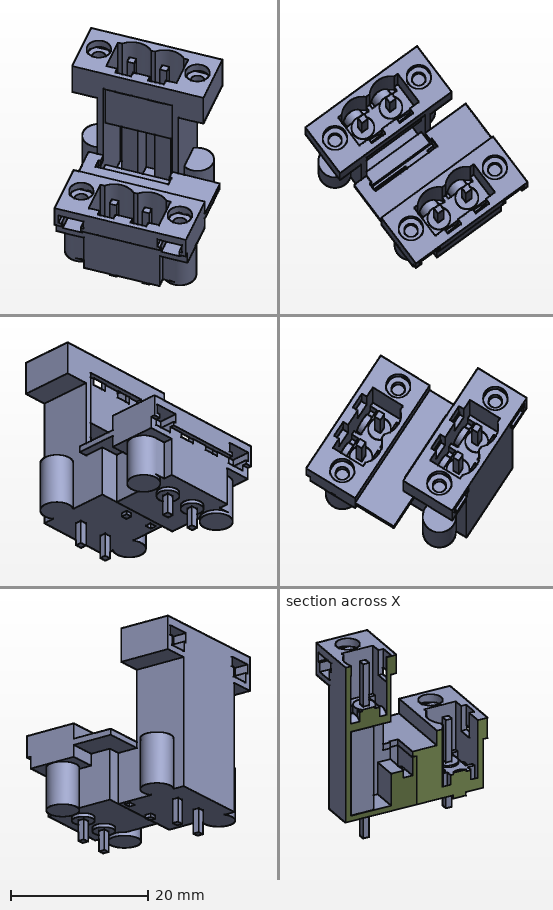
import cadquery as cq


PITCH = 5.08
POLE_OFFSETS = (-0.5 * PITCH, 0.5 * PITCH)
SCREW_OFFSETS = (-1.5 * PITCH, 1.5 * PITCH)

REAR_TOP = 29.35
FRONT_TOP = 15.18
PLATE_TOP = 12.75
PLATE_BOTTOM = 11.77
BASE = 3.75
STANDOFF_BOTTOM = 3.2

FLANGE_LENGTH = 4 * PITCH
FLANGE_DEPTH = 8.49
FLANGE_HEIGHT = 5.28
FLANGE_OVERLAP = 0.68
AXIS_SETBACK = 4.65

OVERALL_LENGTH = 22.87
OVERALL_DEPTH = 23.65
REAR_X = FLANGE_LENGTH / 2
FRONT_X = OVERALL_LENGTH - FLANGE_LENGTH / 2
REAR_Y = OVERALL_DEPTH - FLANGE_DEPTH
FRONT_Y = 0.0
REAR_AXIS_Y = REAR_Y + AXIS_SETBACK
FRONT_AXIS_Y = FRONT_Y + AXIS_SETBACK

CAVITY_LENGTH = 10.85
CAVITY_FRONT = 1.65
CAVITY_BACK = 6.85
CAVITY_DEPTH = 7.93
LOBE_RADIUS = 3.15
KEYWAY_WIDTH = 2.47
KEYWAY_FRONT = 0.8
KEYWAY_DEPTH = 4.1
COLLAR_RADIUS = 1.67
COLLAR_HEIGHT = 0.3
FLOOR_SLOT_WIDTH = 4.45
FLOOR_SLOT_FRONT_END = 2.75
FLOOR_SLOT_BACK_START = 6.17
FLOOR_SLOT_DEPTH = 2.35
RIDGE_RADIUS = 1.5

PIN_WIDTH = 1.1
PIN_DEPTH = 1.0
PIN_RECESS = 0.65

SCREW_HOLE_RADIUS = 1.8
NUT_BORE_RADIUS = 1.0
NUT_SIZE = 3.52
NUT_TOP = 1.5
NUT_BOTTOM = 2.8
NUT_SLOT_HEAD_WIDTH = 3.85
NUT_SLOT_STEM_WIDTH = 2.97
NUT_SLOT_TOP = 1.32
NUT_SLOT_BOTTOM = 4.32

BODY_LENGTH = 11.69
POST_RADIUS = 2.45

TOWER_LENGTH = 12.57
RECESS_LENGTH = 10.63
RECESS_TOP = 26.25
PANEL_BOTTOM = 18.5
PANEL_SETBACK = 0.9
WALL = 0.97
RIB_WIDTH = 2.47
RIB_SETBACK = 3.75

FOOT_REACH = 3.32
SILL_TOP = 9.98
SLOT_LENGTH = 11.27
SLOT_START = 1.2
SLOT_END = 2.65
SLOT_FLOOR = 8.8
DEEP_SLOT_LENGTH = 6.2
DEEP_SLOT_FLOOR = 7.63
SLOT_STRIP = 1.0
THROUGH_HOLE_LENGTH = 1.12
PEG_SIZE = 1.0


def block(x_range, y_range, z_range):
    """Box between the given limits along each axis."""
    (x0, x1), (y0, y1), (z0, z1) = x_range, y_range, z_range
    return cq.Workplane("XY").box(x1 - x0, y1 - y0, z1 - z0, centered=False).translate((x0, y0, z0))


def span(center, length):
    """Limits of a length centred on a coordinate."""
    return (center - length / 2, center + length / 2)


def upright(x, y, radius, z_range):
    """Vertical cylinder."""
    z0, z1 = z_range
    return cq.Workplane("XY").workplane(offset=z0).center(x, y).circle(radius).extrude(z1 - z0)


def pole_cavity(x, y_face, z_top):
    """Space around one pin: rounded back lobe, keyway, and two floor slots with a ridge below."""
    floor = z_top - CAVITY_DEPTH
    slot_bottom = floor - FLOOR_SLOT_DEPTH
    axis_y = y_face + AXIS_SETBACK
    slot_x = span(x, FLOOR_SLOT_WIDTH)
    lobe = upright(x, axis_y, LOBE_RADIUS, (slot_bottom, z_top))

    back_room = block(
        slot_x, (y_face + FLOOR_SLOT_BACK_START, axis_y + LOBE_RADIUS), (slot_bottom, z_top)
    ).intersect(lobe)
    front_slot = block(
        slot_x, (y_face + CAVITY_FRONT, y_face + FLOOR_SLOT_FRONT_END), (slot_bottom, floor)
    )
    ridge = (
        cq.Workplane("XZ", origin=(x, y_face, slot_bottom))
        .circle(RIDGE_RADIUS)
        .extrude(-FLANGE_DEPTH)
    )
    keyway = block(
        span(x, KEYWAY_WIDTH),
        (y_face + KEYWAY_FRONT, y_face + CAVITY_FRONT),
        (z_top - KEYWAY_DEPTH, z_top),
    )
    collar = upright(x, axis_y, COLLAR_RADIUS, (slot_bottom, floor + COLLAR_HEIGHT))
    return back_room.union(front_slot).cut(ridge).union(keyway), collar


def plug_cavity(x_center, y_face, z_top):
    """Space for the plug of one deck, with a raised round collar left standing under each pin."""
    cavity = block(
        span(x_center, CAVITY_LENGTH),
        (y_face + CAVITY_FRONT, y_face + CAVITY_BACK),
        (z_top - CAVITY_DEPTH, z_top),
    )
    collars = []
    for offset in POLE_OFFSETS:
        room, collar = pole_cavity(x_center + offset, y_face, z_top)
        cavity = cavity.union(room)
        collars.append(collar)
    for collar in collars:
        cavity = cavity.cut(collar)
    return cavity


def nut_slot(x, z_top, y_range):
    """T-shaped slot along Y: a wide head for the nut above a narrower stem left empty."""
    head_z = (z_top - NUT_BOTTOM, z_top - NUT_SLOT_TOP)
    stem_z = (z_top - NUT_SLOT_BOTTOM, z_top - NUT_BOTTOM)
    head = block(span(x, NUT_SLOT_HEAD_WIDTH), y_range, head_z)
    return head.union(block(span(x, NUT_SLOT_STEM_WIDTH), y_range, stem_z))


def nut_seats(x_center, axis_y, z_top, slot_y_range):
    """Screw holes from above and the slots in which the nuts sit."""
    seats = cq.Workplane("XY")
    for offset in SCREW_OFFSETS:
        x = x_center + offset
        seats = seats.union(nut_slot(x, z_top, slot_y_range))
        seats = seats.union(upright(x, axis_y, SCREW_HOLE_RADIUS, (z_top - NUT_TOP, z_top)))
    return seats


def make_nut(x, axis_y, z_top):
    """Square nut with a vertical bore, resting on the shoulders of its slot."""
    nut_z = (z_top - NUT_BOTTOM, z_top - NUT_TOP)
    nut = block(span(x, NUT_SIZE), span(axis_y, NUT_SIZE), nut_z)
    return nut.cut(upright(x, axis_y, NUT_BORE_RADIUS, nut_z))


def make_pin(x, axis_y, z_top):
    """Straight rectangular contact pin."""
    return block(span(x, PIN_WIDTH), span(axis_y, PIN_DEPTH), (0, z_top - PIN_RECESS))


def coupling_opening(z_range):
    """Stepped opening in front of the tower face, shared by the plate and the foot."""
    neck = block(span(REAR_X, RECESS_LENGTH), (REAR_Y - SLOT_START, REAR_Y), z_range)
    slot = block(span(REAR_X, SLOT_LENGTH), (REAR_Y - SLOT_END, REAR_Y - SLOT_START), z_range)
    return neck, slot


def make_front_housing():
    flange_x = span(FRONT_X, FLANGE_LENGTH)
    flange_back = FRONT_Y + FLANGE_DEPTH
    flange_bottom = FRONT_TOP - FLANGE_HEIGHT
    body_front = FRONT_Y + FLANGE_OVERLAP
    body_x = span(FRONT_X, BODY_LENGTH)

    housing = block(flange_x, (body_front, flange_back), (flange_bottom, FRONT_TOP))
    housing = housing.union(block(flange_x, (FRONT_Y, flange_back), (PLATE_BOTTOM, FRONT_TOP)))
    housing = housing.union(block(body_x, (body_front, REAR_Y - FOOT_REACH), (BASE, PLATE_BOTTOM)))
    housing = housing.union(block(flange_x, (flange_back, REAR_Y), (PLATE_BOTTOM, PLATE_TOP)))

    for offset in SCREW_OFFSETS:
        x = FRONT_X + offset
        post = upright(x, FRONT_AXIS_Y, POST_RADIUS, (STANDOFF_BOTTOM, flange_bottom))
        web_y = (FRONT_AXIS_Y - POST_RADIUS, FRONT_AXIS_Y)
        web = block(tuple(sorted((x, FRONT_X))), web_y, (BASE, flange_bottom))
        housing = housing.union(post).union(web)

    for offset in POLE_OFFSETS:
        standoff_z = (STANDOFF_BOTTOM, BASE)
        housing = housing.union(upright(FRONT_X + offset, FRONT_AXIS_Y, COLLAR_RADIUS, standoff_z))

    housing = housing.cut(plug_cavity(FRONT_X, FRONT_Y, FRONT_TOP))
    slot_y = (FRONT_Y, FRONT_AXIS_Y + NUT_SIZE / 2)
    housing = housing.cut(nut_seats(FRONT_X, FRONT_AXIS_Y, FRONT_TOP, slot_y))

    for offset in POLE_OFFSETS:
        window_y = (body_front, FRONT_Y + CAVITY_FRONT)
        window_z = (FRONT_TOP - KEYWAY_DEPTH, PLATE_BOTTOM)
        housing = housing.cut(block(span(FRONT_X + offset, KEYWAY_WIDTH), window_y, window_z))

    for opening in coupling_opening((PLATE_BOTTOM, PLATE_TOP)):
        housing = housing.cut(opening)
    return housing


def tower_recess():
    """Open front of the tower: shallow above, deep with two ribs around the pins below."""
    recess_x = span(REAR_X, RECESS_LENGTH)
    panel_y = REAR_Y + PANEL_SETBACK
    recess = block(recess_x, (REAR_Y, panel_y), (SILL_TOP, RECESS_TOP))
    deep_y = (panel_y, OVERALL_DEPTH - WALL)
    deep_z = (BASE + WALL, PANEL_BOTTOM)
    deep = block(recess_x, deep_y, deep_z)
    for offset in POLE_OFFSETS:
        rib_y = (REAR_Y + RIB_SETBACK, OVERALL_DEPTH - WALL)
        deep = deep.cut(block(span(REAR_X + offset, RIB_WIDTH), rib_y, deep_z))
    return recess.union(deep)


def foot_slot():
    """Coupling slot in the foot, deeper at its left end and open to below at its right end."""
    neck, _ = coupling_opening((SILL_TOP, PLATE_BOTTOM))
    _, slot = coupling_opening((SLOT_FLOOR, PLATE_BOTTOM))
    left, right = span(REAR_X, SLOT_LENGTH)
    strip_y = (REAR_Y - SLOT_END, REAR_Y - SLOT_END + SLOT_STRIP)
    deep = block((left, left + DEEP_SLOT_LENGTH), strip_y, (DEEP_SLOT_FLOOR, SLOT_FLOOR))
    through = block((right - THROUGH_HOLE_LENGTH, right), strip_y, (BASE, SLOT_FLOOR))
    return neck.union(slot).union(deep).union(through)


def make_rear_housing():
    flange_bottom = REAR_TOP - FLANGE_HEIGHT
    depth = (REAR_Y, OVERALL_DEPTH)
    tower_x = span(REAR_X, TOWER_LENGTH)

    housing = block(span(REAR_X, FLANGE_LENGTH), depth, (flange_bottom, REAR_TOP))
    housing = housing.union(block(tower_x, depth, (BASE, flange_bottom)))
    housing = housing.union(block(tower_x, (REAR_Y - FOOT_REACH, REAR_Y), (BASE, PLATE_BOTTOM)))

    for offset in SCREW_OFFSETS:
        post = upright(REAR_X + offset, REAR_AXIS_Y, POST_RADIUS, (BASE, PLATE_BOTTOM))
        housing = housing.union(post)

    housing = housing.cut(tower_recess()).cut(foot_slot())
    housing = housing.cut(plug_cavity(REAR_X, REAR_Y, REAR_TOP))
    slot_y = (REAR_AXIS_Y - NUT_SIZE / 2, OVERALL_DEPTH)
    housing = housing.cut(nut_seats(REAR_X, REAR_AXIS_Y, REAR_TOP, slot_y))

    peg_y = (REAR_Y - SLOT_END, REAR_Y - SLOT_END + PEG_SIZE)
    peg_x = span(FRONT_X + POLE_OFFSETS[0], PEG_SIZE)
    return housing.union(block(peg_x, peg_y, (STANDOFF_BOTTOM, BASE)))


front_housing = make_front_housing()
rear_housing = make_rear_housing()

pins = []
nuts = []
for deck_x, deck_axis_y, deck_top in (
    (FRONT_X, FRONT_AXIS_Y, FRONT_TOP),
    (REAR_X, REAR_AXIS_Y, REAR_TOP),
):
    for offset in POLE_OFFSETS:
        pins.append(make_pin(deck_x + offset, deck_axis_y, deck_top))
    for offset in SCREW_OFFSETS:
        nuts.append(make_nut(deck_x + offset, deck_axis_y, deck_top))

for pin in pins:
    front_housing = front_housing.cut(pin)
    rear_housing = rear_housing.cut(pin)

result = cq.Compound.makeCompound(
    [front_housing.val(), rear_housing.val()]
    + [pin.val() for pin in pins]
    + [nut.val() for nut in nuts]
)